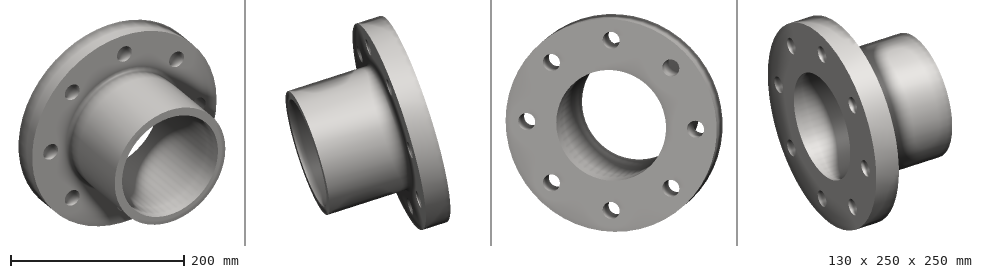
import cadquery as cq

flange_diameter = 250.0
flange_thickness = 30.0

overall_length = 130.0
hub_diameter = 150.0
bore_diameter = 130.0
root_fillet_radius = 4.5

bolt_circle_diameter = 200.0
bolt_hole_diameter = 20.0
bolt_hole_count = 8


def make_body():
    """Flange and hub along +X, with a concave fillet where they meet."""
    flange_radius = flange_diameter / 2
    hub_radius = hub_diameter / 2
    fillet_end_x = flange_thickness + root_fillet_radius
    fillet_outer_radius = hub_radius + root_fillet_radius
    half_section = (
        cq.Workplane("XY")
        .lineTo(0, flange_radius)
        .lineTo(flange_thickness, flange_radius)
        .lineTo(flange_thickness, fillet_outer_radius)
        .radiusArc((fillet_end_x, hub_radius), -root_fillet_radius)
        .lineTo(overall_length, hub_radius)
        .lineTo(overall_length, 0)
        .close()
    )
    return half_section.revolve(360, (0, 0, 0), (1, 0, 0))


def make_bore():
    """Straight bore through the whole length."""
    return cq.Workplane("YZ").circle(bore_diameter / 2).extrude(overall_length)


def make_bolt_holes():
    """Evenly spaced through holes, the first on the +Y axis."""
    return (
        cq.Workplane("YZ")
        .polarArray(bolt_circle_diameter / 2, 0, 360, bolt_hole_count)
        .circle(bolt_hole_diameter / 2)
        .extrude(flange_thickness)
    )


result = make_body().cut(make_bore()).cut(make_bolt_holes())